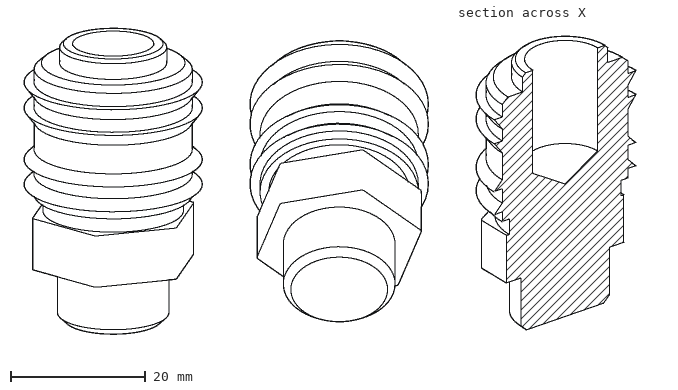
import cadquery as cq
import math

stub_radius = 8.3
stub_chamfer_width = 1.1
stub_chamfer_height = 1.08

hex_bottom = 9.0
hex_top = 17.0
hex_across_flats = 21.85
hex_corner_fillet = 0.55

neck_radius = 10.45
sleeve_bottom = 19.5
sleeve_top = 40.0
sleeve_radius = 11.75
sleeve_chamfer_width = 1.08
sleeve_chamfer_height = 0.95

ring_radius = 13.25
lower_rim_heights = (21.05, 24.95)
lower_cone_height = 1.55
upper_rim_heights = (33.0, 37.0)
upper_cone_height = -2.0

total_height = 43.0
nozzle_radius = 7.95
nozzle_chamfer = 0.55
bore_radius = 6.0
bore_depth = 17.2
bore_tip_angle = 118.0


def disc(radius, bottom, top):
    return cq.Workplane("XY").workplane(offset=bottom).circle(radius).extrude(top - bottom)


def grip_ring(rim_height, cone_height):
    """Ring with a flat face at the rim and a cone running back to the sleeve."""
    return (
        cq.Workplane("XZ")
        .moveTo(0, rim_height)
        .lineTo(ring_radius, rim_height)
        .lineTo(sleeve_radius, rim_height + cone_height)
        .lineTo(0, rim_height + cone_height)
        .close()
        .revolve(360, (0, 0, 0), (0, 1, 0))
    )


def hex_section():
    across_corners = hex_across_flats / math.cos(math.pi / 6)
    prism = (
        cq.Workplane("XY")
        .workplane(offset=hex_bottom)
        .polygon(6, across_corners)
        .extrude(hex_top - hex_bottom)
    )
    return prism.edges("|Z").fillet(hex_corner_fillet)


def blind_bore():
    """Drilled hole from the top with a conical end."""
    bore_floor = total_height - bore_depth
    tip_depth = bore_radius / math.tan(math.radians(bore_tip_angle / 2))
    return (
        cq.Workplane("XZ")
        .moveTo(0, bore_floor - tip_depth)
        .lineTo(bore_radius, bore_floor)
        .lineTo(bore_radius, total_height)
        .lineTo(0, total_height)
        .close()
        .revolve(360, (0, 0, 0), (0, 1, 0))
    )


stub = disc(stub_radius, 0, hex_bottom).faces("<Z").chamfer(stub_chamfer_height, stub_chamfer_width)
neck = disc(neck_radius, hex_top, sleeve_bottom)
sleeve = disc(sleeve_radius, sleeve_bottom, sleeve_top)
sleeve = sleeve.faces(">Z").chamfer(sleeve_chamfer_height, sleeve_chamfer_width)
nozzle = disc(nozzle_radius, sleeve_top, total_height).faces(">Z").chamfer(nozzle_chamfer)

body = stub.union(hex_section()).union(neck).union(sleeve).union(nozzle)
for rim in lower_rim_heights:
    body = body.union(grip_ring(rim, lower_cone_height))
for rim in upper_rim_heights:
    body = body.union(grip_ring(rim, upper_cone_height))

result = body.cut(blind_bore())